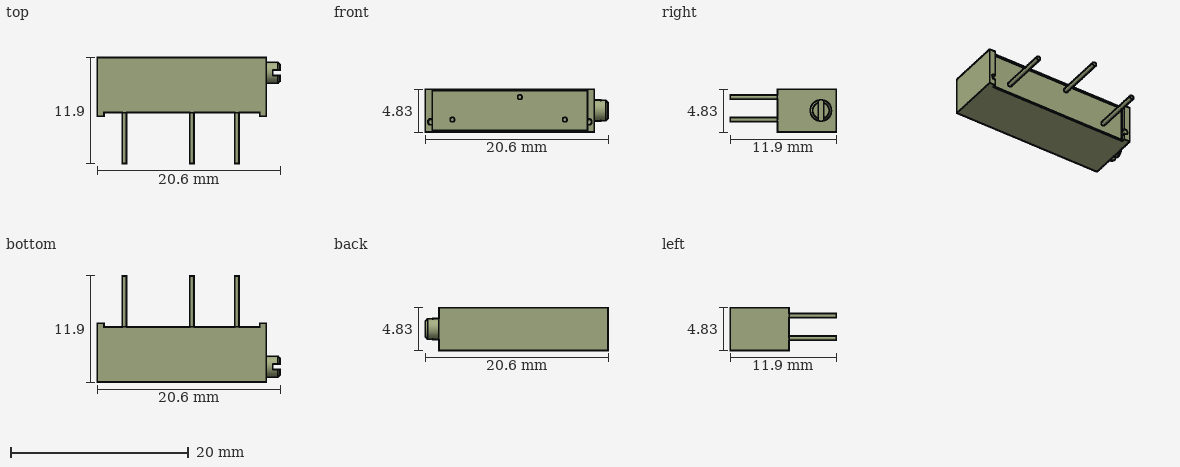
import cadquery as cq

total_length = 20.57
total_depth = 11.93
body_length = 19.03
body_depth = 6.62
body_height = 4.83

foot_width = 0.76
foot_height = 0.43
foot_face_y = 0.0
back_y = foot_face_y + body_depth
floor_y = foot_face_y + foot_height
pin_tip_y = back_y - total_depth

recess_rim = 0.19
recess_end_rim = 0.06
recess_depth = 0.06

dimple_radius = 0.35
dimple_center_depth = 0.15
dimple_inset = 0.64
dimple_z = -1.28

pin_pitch = 2.53
pin_diameter = 0.51
pin_embed = 0.41
first_pin_x = 3.05
low_pin_z = -1.03
pin_positions = [
    (first_pin_x, low_pin_z),
    (first_pin_x + 3 * pin_pitch, low_pin_z + pin_pitch),
    (first_pin_x + 5 * pin_pitch, low_pin_z),
]

screw_radius = 1.2
screw_chamfer = 0.27
screw_y = back_y - 1.73
screw_length = total_length - body_length
slot_width = 0.6
slot_depth = 0.82


def box(x_min, x_max, y_min, y_max, height):
    """Box centred on Z = 0 between the given X and Y limits."""
    size = (x_max - x_min, y_max - y_min, height)
    return cq.Workplane("XY").box(*size, centered=(False, False, True)).translate((x_min, y_min, 0))


def make_body():
    body = box(0, body_length, foot_face_y, back_y, body_height)
    inner_end = body_length - foot_width
    gap = box(foot_width, inner_end, foot_face_y, floor_y, body_height)
    recess = box(
        foot_width,
        inner_end - recess_end_rim,
        floor_y,
        floor_y + recess_depth,
        body_height - 2 * recess_rim,
    )
    body = body.cut(gap).cut(recess)
    for x in (dimple_inset, body_length - dimple_inset):
        center = (x, foot_face_y + dimple_center_depth, dimple_z)
        body = body.cut(cq.Workplane("XY").sphere(dimple_radius).translate(center))
    return body


def make_pin(x, z):
    root_y = floor_y + recess_depth + pin_embed
    plane = cq.Plane(origin=(x, root_y, z), xDir=(1, 0, 0), normal=(0, -1, 0))
    return cq.Workplane(plane).circle(pin_diameter / 2).extrude(root_y - pin_tip_y)


def make_screw():
    screw = (
        cq.Workplane("YZ", origin=(body_length, screw_y, 0))
        .circle(screw_radius)
        .extrude(screw_length)
        .faces(">X")
        .chamfer(screw_chamfer)
    )
    slot = box(
        total_length - slot_depth,
        total_length,
        screw_y - slot_width / 2,
        screw_y + slot_width / 2,
        2 * screw_radius,
    )
    return screw.cut(slot)


result = make_body().union(make_screw())
for pin_x, pin_z in pin_positions:
    result = result.union(make_pin(pin_x, pin_z))